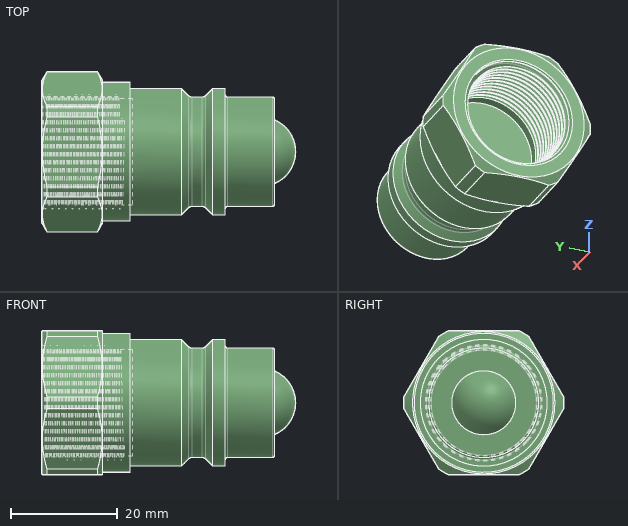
import cadquery as cq
import math

across_flats = 27.0
across_corners = 30.0
hex_sides = 6
hex_length = 11.4
hex_face_diameter = 26.6
hex_chamfer_angle = 30.0

collar_diameter = 26.0
collar_end = 16.5
body_diameter = 23.7
nose_diameter = 20.5
groove_start = 26.1
groove_end = 31.95
groove_fillet = 1.0
groove_flank_angle = 45.0
rib_end = 34.3
rib_fillet = 0.45
nose_end = 43.52
nose_fillet = 0.42

total_length = 47.48
ball_radius = 6.5

bore_diameter = 19.84
bore_depth = 17.0
port_chamfer = 1.0
thread_pitch = 1.26
thread_length = 15.0
thread_angle = 60.0
thread_depth = 0.78
thread_crest_width = thread_pitch / 4
thread_start_angle = 70.0
thread_overlap = 0.05


def make_hexagon():
    """Hexagon with flats facing +Z and -Z, corners turned down and both ends chamfered."""
    corner_distance = across_flats / math.cos(math.pi / hex_sides)
    prism = cq.Workplane("YZ").polygon(hex_sides, corner_distance).extrude(hex_length)
    face_radius = hex_face_diameter / 2
    corner_radius = across_corners / 2
    chamfer_length = (corner_radius - face_radius) * math.tan(math.radians(hex_chamfer_angle))
    envelope = (
        cq.Workplane("XY")
        .polyline(
            [
                (0, 0),
                (0, face_radius),
                (chamfer_length, corner_radius),
                (hex_length - chamfer_length, corner_radius),
                (hex_length, face_radius),
                (hex_length, 0),
            ]
        )
        .close()
        .revolve(360, (0, 0, 0), (1, 0, 0))
    )
    return prism.intersect(envelope)


def make_turned_body():
    """Collar, body, locking groove, rib, nose and the ball standing out of the nose."""
    body_radius = body_diameter / 2
    nose_radius = nose_diameter / 2
    groove_depth = body_radius - nose_radius
    flank_angle = math.radians(groove_flank_angle)
    half_angle = flank_angle / 2
    tangent = groove_fillet * math.tan(half_angle)
    flank_run = tangent * math.cos(flank_angle)
    flank_rise = tangent * math.sin(flank_angle)
    mid_run = groove_fillet * math.sin(half_angle)
    mid_radius = nose_radius + groove_fillet * (1 - math.cos(half_angle))
    flank_width = groove_depth / math.tan(flank_angle)
    left_corner = groove_start + flank_width
    right_corner = groove_end - flank_width
    floor_start = left_corner + tangent
    floor_end = right_corner - tangent
    flank_foot = nose_radius + flank_rise
    ball_height = total_length - nose_end
    ball_rim_radius = math.sqrt(ball_height * (2 * ball_radius - ball_height))
    return (
        cq.Workplane("XY")
        .moveTo(hex_length, 0)
        .lineTo(hex_length, collar_diameter / 2)
        .lineTo(collar_end, collar_diameter / 2)
        .lineTo(collar_end, body_radius)
        .lineTo(groove_start, body_radius)
        .lineTo(left_corner - flank_run, flank_foot)
        .threePointArc((floor_start - mid_run, mid_radius), (floor_start, nose_radius))
        .lineTo(floor_end, nose_radius)
        .threePointArc((floor_end + mid_run, mid_radius), (right_corner + flank_run, flank_foot))
        .lineTo(groove_end, body_radius)
        .lineTo(rib_end, body_radius)
        .lineTo(rib_end, nose_radius + rib_fillet)
        .radiusArc((rib_end + rib_fillet, nose_radius), -rib_fillet)
        .lineTo(nose_end - nose_fillet, nose_radius)
        .radiusArc((nose_end, nose_radius - nose_fillet), nose_fillet)
        .lineTo(nose_end, ball_rim_radius)
        .radiusArc((total_length, 0), ball_radius)
        .close()
        .revolve(360, (0, 0, 0), (1, 0, 0))
    )


def make_port():
    """Blind bore with a 45 degree entry chamfer."""
    bore_radius = bore_diameter / 2
    return (
        cq.Workplane("XY")
        .polyline(
            [
                (0, 0),
                (0, bore_radius + port_chamfer),
                (port_chamfer, bore_radius),
                (bore_depth, bore_radius),
                (bore_depth, 0),
            ]
        )
        .close()
        .revolve(360, (0, 0, 0), (1, 0, 0))
    )


def make_thread_cutter():
    """Right-hand helical V groove with a flat root, starting one pitch before the entry face."""
    bore_radius = bore_diameter / 2
    flank_slope = math.tan(math.radians(thread_angle / 2))
    mouth_half = (thread_pitch - thread_crest_width) / 2
    inner_half = mouth_half + thread_overlap * flank_slope
    root_half = mouth_half - thread_depth * flank_slope
    inner_radius = bore_radius - thread_overlap
    root_radius = bore_radius + thread_depth
    helix = cq.Wire.makeHelix(thread_pitch, thread_length + thread_pitch, bore_radius)
    cutter = (
        cq.Workplane("XZ")
        .polyline(
            [
                (inner_radius, -inner_half),
                (root_radius, -root_half),
                (root_radius, root_half),
                (inner_radius, inner_half),
            ]
        )
        .close()
        .sweep(cq.Workplane(helix), isFrenet=True)
    )
    return (
        cutter.rotate((0, 0, 0), (0, 0, 1), thread_start_angle)
        .rotate((0, 0, 0), (0, 1, 0), 90)
        .translate((-thread_pitch, 0, 0))
    )


result = make_hexagon().union(make_turned_body())
result = result.cut(make_port()).cut(make_thread_cutter(), clean=False)